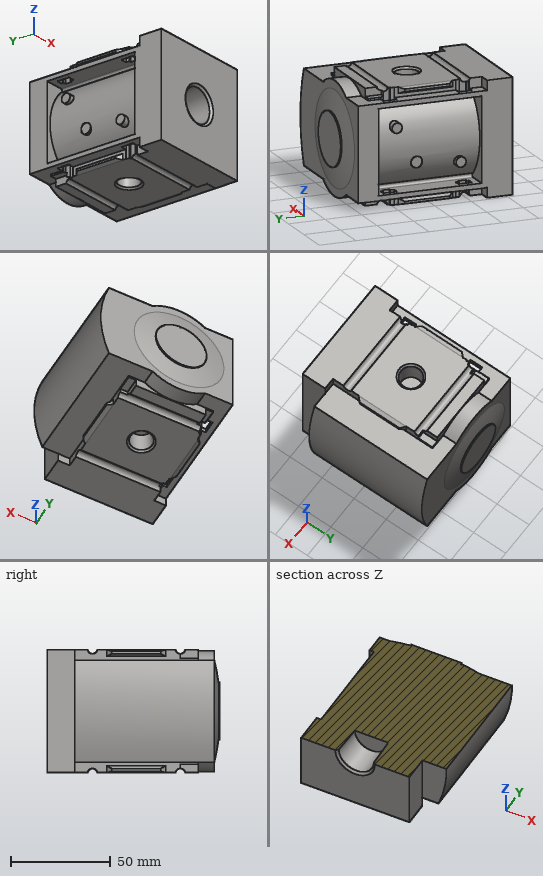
import cadquery as cq
import math

BODY_SIZE = 62.0
BODY_HALF = BODY_SIZE / 2
LENGTH = 87.2
FRONT_DEPTH = 14.0
BODY_BACK = 76.1
FRAME_BACK = 84.4
FRAME_HALF_HEIGHT = 25.6
BODY_HALF_WIDTH = 24.2

WIDTH = 75.8
COVER_TIP = WIDTH - BODY_HALF
COVER_EDGE = 40.1

BOSS_RADIUS = 25.3
BOSS_REACH = 30.6
DOME_RADIUS = 25.7
BUTTON_DIAMETER = 29.0
BUTTON_STEP = 0.7
BUTTON_BASE = LENGTH - BUTTON_STEP

FRONT_PORT = dict(mouth=22.6, throat=20.0, end=18.8, depth=17.4)
SIDE_PORT = dict(mouth=14.65, throat=12.6, end=11.95, depth=12.2)
SIDE_PORT_Y = 45.0

GROOVE_YS = (22.9, 67.2)
GROOVE_HALF_WIDTH = 2.4
GROOVE_DEPTH = 2.0
GROOVE_RADIUS = (GROOVE_HALF_WIDTH**2 + GROOVE_DEPTH**2) / (2 * GROOVE_DEPTH)

NOTCH_INNER_X = 20.05
NOTCH_FLOOR = 26.7

LUG_FRONT = 30.1
LUG_BACK = 59.8
LUG_PROJECTION = 2.5
LUG_ROOT_BOTTOM = 27.55
LUG_NOSE_TOP = 30.3
LUG_NOSE_BOTTOM = 28.95

WINDOW_FRONT = 17.0
WINDOW_BACK = 73.25
WINDOW_HALF_HEIGHT = 22.9
DRUM_RADIUS = 28.6
DRUM_GROOVE_WIDTH = 2.3
DRUM_GROOVE_Z = WINDOW_HALF_HEIGHT - DRUM_GROOVE_WIDTH / 2
WINDOW_FLOOR_X = -math.sqrt(DRUM_RADIUS**2 - (WINDOW_HALF_HEIGHT - DRUM_GROOVE_WIDTH)**2)

SLOT_OUTER_X = -27.6
SLOT_STEP_X = -24.0
SLOT_INNER_X = -22.7
SLOT_LENGTH = 7.2
SLOT_STEP_LENGTH = 4.0
SLOT_YS = (24.6, 65.6)
SLOT_STEP_SHIFT = (-0.4, 0.35)

PIN_DIAMETER = 5.5
PIN_TIP_X = -29.4
PIN_PLACES = ((62.5, 11.0), (27.55, -11.0))
DISC_DIAMETER = 6.1
DISC_FACE_X = -27.6
DISC_PLACE = (51.1, -8.6)


def block(x0, x1, y0, y1, z0, z1):
    """Box between two opposite corners."""
    return cq.Workplane("XY").box(x1 - x0, y1 - y0, z1 - z0, centered=False).translate((x0, y0, z0))


def along_x(diameter, y, z, x0, x1):
    """Cylinder parallel to X."""
    return cq.Workplane("YZ", origin=(x0, 0, 0)).center(y, z).circle(diameter / 2).extrude(x1 - x0)


def along_y(profile, y0, y1):
    """Extrude an XZ outline from y0 to y1."""
    return profile.extrude(y0 - y1).translate((0, y0, 0))


def both_sides(shape):
    """The shape together with its mirror image in the Z = 0 plane."""
    return shape.union(shape.mirror("XY"))


def bore(mouth, throat, end, depth):
    """Cutter with a 45 degree mouth chamfer and tapered wall, going down from the origin."""
    chamfer = (mouth - throat) / 2
    profile = [(0, 0), (mouth / 2, 0), (throat / 2, -chamfer), (end / 2, -depth), (0, -depth)]
    return cq.Workplane("XZ").polyline(profile).close().revolve(360, (0, 0, 0), (0, 1, 0))


def housing():
    """Front block, inner body and the frame with its curved cover."""
    front = block(-BODY_HALF, BODY_HALF, 0, FRONT_DEPTH, -BODY_HALF, BODY_HALF)
    inner = block(-BODY_HALF_WIDTH, BODY_HALF_WIDTH, 0, BODY_BACK, -BODY_HALF, BODY_HALF)
    frame_outline = (
        cq.Workplane("XZ")
        .moveTo(-BODY_HALF, -FRAME_HALF_HEIGHT)
        .lineTo(COVER_EDGE, -FRAME_HALF_HEIGHT)
        .threePointArc((COVER_TIP, 0), (COVER_EDGE, FRAME_HALF_HEIGHT))
        .lineTo(-BODY_HALF, FRAME_HALF_HEIGHT)
        .close()
    )
    return front.union(inner).union(along_y(frame_outline, FRONT_DEPTH, FRAME_BACK))


def rear_boss():
    """Obround boss crossing the rear of the frame."""
    outline = cq.Workplane("XZ").slot2D(2 * BOSS_REACH, 2 * BOSS_RADIUS, 90)
    return along_y(outline, BODY_BACK, FRAME_BACK)


def button():
    """Shallow spherical dome with a raised round button."""
    radius = BUTTON_DIAMETER / 2
    rise = BUTTON_BASE - FRAME_BACK
    centre = (radius**2 + rise**2 - DOME_RADIUS**2) / (2 * rise)
    sphere_radius = math.hypot(DOME_RADIUS, centre)
    mid_radius = (radius + DOME_RADIUS) / 2
    mid_y = FRAME_BACK + centre + math.sqrt(sphere_radius**2 - mid_radius**2)
    return (
        cq.Workplane("XY")
        .moveTo(0, FRAME_BACK)
        .lineTo(DOME_RADIUS, FRAME_BACK)
        .threePointArc((mid_radius, mid_y), (radius, BUTTON_BASE))
        .lineTo(radius, LENGTH)
        .lineTo(0, LENGTH)
        .close()
        .revolve(360, (0, 0, 0), (0, 1, 0))
    )


def lug():
    """Lug on the upper +X flank, tapered in height and with 45 degree ends."""
    nose_x = BODY_HALF_WIDTH + LUG_PROJECTION
    section = (
        cq.Workplane("XZ")
        .moveTo(0, LUG_ROOT_BOTTOM)
        .lineTo(BODY_HALF_WIDTH, LUG_ROOT_BOTTOM)
        .lineTo(nose_x, LUG_NOSE_BOTTOM)
        .lineTo(nose_x, LUG_NOSE_TOP)
        .lineTo(BODY_HALF_WIDTH, BODY_HALF)
        .lineTo(0, BODY_HALF)
        .close()
    )
    plan = [
        (0, LUG_FRONT),
        (BODY_HALF_WIDTH, LUG_FRONT),
        (nose_x, LUG_FRONT + LUG_PROJECTION),
        (nose_x, LUG_BACK - LUG_PROJECTION),
        (BODY_HALF_WIDTH, LUG_BACK),
        (0, LUG_BACK),
    ]
    prism = cq.Workplane("XY").polyline(plan).close().extrude(BODY_HALF)
    return along_y(section, LUG_FRONT, LUG_BACK).intersect(prism)


def face_cuts():
    """Cross grooves and rear corner notches of the top face."""
    groove_z = BODY_HALF + GROOVE_RADIUS - GROOVE_DEPTH
    notch = block(NOTCH_INNER_X, BODY_HALF_WIDTH, GROOVE_YS[1], BODY_BACK, NOTCH_FLOOR, BODY_HALF)
    cuts = notch.union(notch.mirror("YZ"))
    for y in GROOVE_YS:
        cuts = cuts.union(along_x(2 * GROOVE_RADIUS, y, groove_z, -BODY_HALF_WIDTH, BODY_HALF_WIDTH))
    return cuts


def slots():
    """Stepped slots through the upper wall of the window, notching the inner body."""
    cuts = cq.Workplane("XY")
    for y, shift in zip(SLOT_YS, SLOT_STEP_SHIFT):
        half = SLOT_LENGTH / 2
        step_half = SLOT_STEP_LENGTH / 2
        step_y = y + shift
        wide = block(SLOT_OUTER_X, SLOT_STEP_X, y - half, y + half, DRUM_GROOVE_Z, BODY_HALF)
        narrow = block(
            SLOT_STEP_X, SLOT_INNER_X, step_y - step_half, step_y + step_half, DRUM_GROOVE_Z, BODY_HALF
        )
        cuts = cuts.add(wide.union(narrow))
    return cuts.combine()


def window():
    """Side window cavity around the drum, with a half-round groove along each long edge."""
    cavity = block(
        -BODY_HALF, WINDOW_FLOOR_X, WINDOW_FRONT, WINDOW_BACK, -WINDOW_HALF_HEIGHT, WINDOW_HALF_HEIGHT
    )
    drum = along_y(cq.Workplane("XZ").circle(DRUM_RADIUS), WINDOW_FRONT, WINDOW_BACK)
    groove_centre = cq.Workplane("XZ").center(WINDOW_FLOOR_X, DRUM_GROOVE_Z)
    groove = along_y(groove_centre.circle(DRUM_GROOVE_WIDTH / 2), WINDOW_FRONT, WINDOW_BACK)
    return cavity.cut(drum).union(both_sides(groove))


upper_lugs = lug().union(lug().mirror("YZ"))
side_port = bore(**SIDE_PORT).translate((0, SIDE_PORT_Y, BODY_HALF))
front_port = bore(**FRONT_PORT).rotate((0, 0, 0), (1, 0, 0), 90)

result = housing().union(rear_boss()).union(button()).union(both_sides(upper_lugs))
result = result.cut(both_sides(face_cuts())).cut(both_sides(slots()))
result = result.cut(both_sides(side_port)).cut(front_port).cut(window())

for pin_y, pin_z in PIN_PLACES:
    result = result.union(along_x(PIN_DIAMETER, pin_y, pin_z, PIN_TIP_X, WINDOW_FLOOR_X))
result = result.cut(along_x(DISC_DIAMETER, *DISC_PLACE, -BODY_HALF, DISC_FACE_X))
result = result.union(along_x(DISC_DIAMETER, *DISC_PLACE, DISC_FACE_X, WINDOW_FLOOR_X))